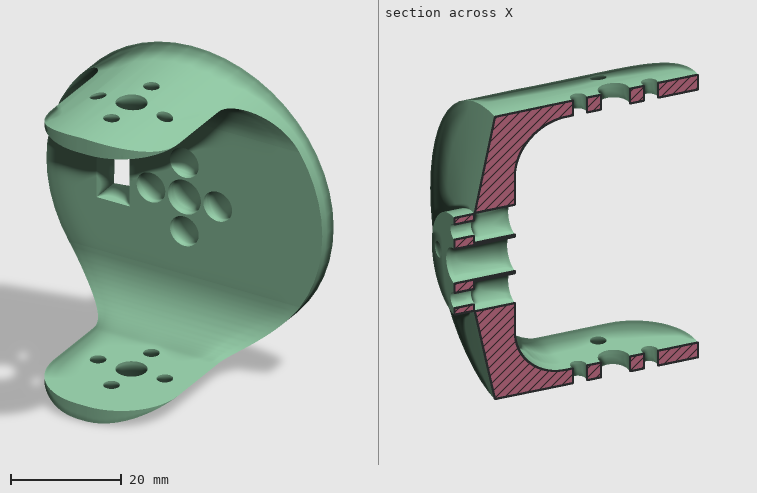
import cadquery as cq
import math

outer_radius = 29.0
hub_radius = 10.0
step = 4.0
arm_reach = 36.0
flange_back = step
cone_back = 2 * step
hub_back = 3 * step

channel_half_height = 25.85
channel_root_radius = 10.0
arm_half_width = math.sqrt(outer_radius**2 - channel_half_height**2)
tip_corner_radius = 12.0

bolt_offset = 7.0
bolt_diameter = 3.0

hub_bore_diameter = 6.95
counterbore_diameter = 6.05
counterbore_floor = hub_back - step

arm_hole_x = 0.7
arm_hole_y = 16.25 - arm_reach
arm_bore_diameter = 5.8

window_width = 6.9
window_height = 13.0
window_x = -14.95
window_z = 1.35


def cross_points(x, y):
    """Four bolt centres around (x, y)."""
    return [
        (x + bolt_offset, y),
        (x - bolt_offset, y),
        (x, y + bolt_offset),
        (x, y - bolt_offset),
    ]


def turned_body():
    """Solid cylinder with a conical back and a hub stub."""
    return (
        cq.Workplane("XY")
        .moveTo(0, -arm_reach)
        .lineTo(outer_radius, -arm_reach)
        .lineTo(outer_radius, flange_back)
        .lineTo(hub_radius, cone_back)
        .lineTo(hub_radius, hub_back)
        .lineTo(0, hub_back)
        .close()
        .revolve(360, (0, 0), (0, 1))
    )


def channel():
    """Cutter for the space between the arms, with rounded roots at the flange."""
    return (
        cq.Workplane("XY")
        .box(2 * outer_radius, arm_reach, 2 * channel_half_height, centered=(True, False, True))
        .translate((0, -arm_reach, 0))
        .edges("|X and >Y")
        .fillet(channel_root_radius)
    )


def tip_envelope():
    """Full block whose two front corners round the tips of the arms."""
    straight_start = tip_corner_radius - arm_reach
    arm_front = (
        cq.Workplane("XY")
        .box(2 * arm_half_width, arm_reach, 2 * outer_radius, centered=(True, False, True))
        .translate((0, -arm_reach, 0))
        .edges("|Z and <Y")
        .fillet(tip_corner_radius)
    )
    rear_block = (
        cq.Workplane("XY")
        .box(2 * outer_radius, hub_back - straight_start, 2 * outer_radius, centered=(True, False, True))
        .translate((0, straight_start, 0))
    )
    return arm_front.union(rear_block)


def hole_along_y(points, diameter, back):
    """Holes from the flange front face to the given depth; points are (X, Z)."""
    return cq.Workplane("XZ").pushPoints(points).circle(diameter / 2).extrude(-back)


def hole_along_z(points, diameter):
    """Holes through both arms; points are (X, Y)."""
    return cq.Workplane("XY").pushPoints(points).circle(diameter / 2).extrude(outer_radius, both=True)


body = turned_body().cut(channel()).intersect(tip_envelope())

hub_bolts = cross_points(0, 0)
body = body.cut(hole_along_y([(0, 0)], hub_bore_diameter, hub_back))
body = body.cut(hole_along_y(hub_bolts, bolt_diameter, hub_back))
body = body.cut(hole_along_y(hub_bolts, counterbore_diameter, counterbore_floor))

arm_bolts = cross_points(arm_hole_x, arm_hole_y)
body = body.cut(hole_along_z([(arm_hole_x, arm_hole_y)], arm_bore_diameter))
body = body.cut(hole_along_z(arm_bolts, bolt_diameter))

window = (
    cq.Workplane("XZ")
    .center(window_x, window_z)
    .rect(window_width, window_height)
    .extrude(-hub_back)
)
result = body.cut(window)